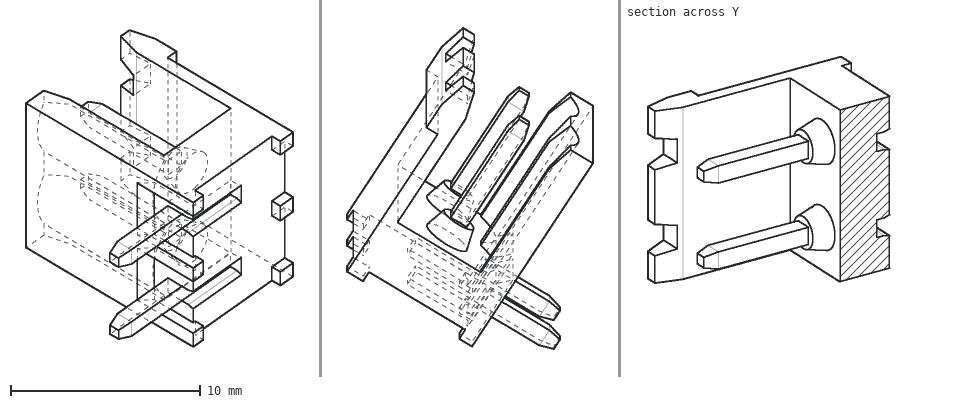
import cadquery as cq
import math


length = 12.0
height = 10.0
poles = 2
pitch = height / poles
bottom_width = 8.5
arm_outer = 7.8
arm_inner = 7.0
hook_length = 3.0
lower_inner = 1.8
cavity_depth = 8.26
lead_in_length = 1.5
taper_angle = 15.0
taper = math.tan(math.radians(taper_angle))
lead_in_drop = lead_in_length * taper
back_face = 11.4
lower_rib_inner = 0.8
upper_rib_inner = 6.8

notch_depth = 1.2
notch_tip_width = 1.82
notch_floor_width = 1.37

window_start = 7.97
window_depth = 0.64
outer_rib_height = 0.95
middle_rib_height = 0.93
upper_middle_rib_height = 1.02

pin_width = 1.0
pin_y = 3.92
solder_x = 10.1
mating_tip_x = 0.6
solder_tip_y = -4.1
pin_tip_length = 0.8
pin_tip_width = 0.62

collar_length = 1.18
collar_base_diameter = 2.5
collar_top_diameter = 1.85
plug_radius = 3.03

slot_mouth_width = 1.2
slot_flare_length = 0.35

pole_heights = [(pole + 0.5) * pitch for pole in range(poles)]


def block(x_range, y_range, z_range):
    """Box spanning the given ranges."""
    spans = [high - low for low, high in (x_range, y_range, z_range)]
    return cq.Workplane("XY").box(*spans, centered=False).translate((x_range[0], y_range[0], z_range[0]))


def housing_profile():
    """U-shaped XY outline, extruded over the full height."""
    outline = [
        (0, 0),
        (length, 0),
        (length, lower_rib_inner),
        (back_face, lower_rib_inner),
        (back_face, upper_rib_inner),
        (length, upper_rib_inner),
        (length, arm_outer),
        (hook_length, arm_outer),
        (hook_length, bottom_width),
        (lead_in_length, bottom_width),
        (0, bottom_width - lead_in_drop),
        (0, arm_inner + lead_in_drop),
        (lead_in_length, arm_inner),
        (cavity_depth, arm_inner),
        (cavity_depth, lower_inner),
        (lead_in_length, lower_inner),
        (0, lower_inner - lead_in_drop),
    ]
    return cq.Workplane("XY").polyline(outline).close().extrude(height)


def hook_notch(z):
    """Trapezoidal notch through the hook tip, narrowing inward."""
    outline = [
        (0, z - notch_tip_width / 2),
        (0, z + notch_tip_width / 2),
        (notch_depth, z + notch_floor_width / 2),
        (notch_depth, z - notch_floor_width / 2),
    ]
    blade = cq.Workplane("XZ").polyline(outline).close().extrude(-(bottom_width - arm_inner))
    return blade.translate((0, arm_inner, 0))


def rib_gaps(middle_height):
    """Z ranges left free between two outer ribs and the middle rib."""
    middle = height / 2
    return [
        (outer_rib_height, middle - middle_height / 2),
        (middle + middle_height / 2, height - outer_rib_height),
    ]


def window(z_range):
    """Shallow recess in the lower face with a 45 degree ramp at its closed end."""
    outline = [
        (window_start, 0),
        (window_start + window_depth, window_depth),
        (back_face, window_depth),
        (back_face, lower_rib_inner),
        (length, lower_rib_inner),
        (length, 0),
    ]
    recess = cq.Workplane("XY").polyline(outline).close().extrude(z_range[1] - z_range[0])
    return recess.translate((0, 0, z_range[0]))


def insertion_slot(z):
    """Slot for sliding a bent pin in from the back, flared at the back face."""
    flare_start = back_face - slot_flare_length
    half_slot = pin_width / 2
    half_mouth = slot_mouth_width / 2
    outline = [
        (solder_x, z - half_slot),
        (flare_start, z - half_slot),
        (back_face, z - half_mouth),
        (back_face, z + half_mouth),
        (flare_start, z + half_slot),
        (solder_x, z + half_slot),
    ]
    return cq.Workplane("XZ").polyline(outline).close().extrude(-(pin_y + pin_width / 2))


def pin_leg(start, direction, leg_length):
    """Square leg with a tapered tip, running from start along direction."""
    plane = cq.Plane(origin=start, xDir=(0, 0, 1), normal=direction)
    shank_length = leg_length - pin_tip_length
    shank = cq.Workplane(plane).rect(pin_width, pin_width).extrude(shank_length)
    tip = (
        cq.Workplane(plane).workplane(offset=shank_length).rect(pin_width, pin_width)
        .workplane(offset=pin_tip_length).rect(pin_tip_width, pin_tip_width).loft()
    )
    return shank.union(tip)


def pin(z):
    """Right-angle pin: mating leg toward -X and solder leg toward -Y."""
    half = pin_width / 2
    corner_x = solder_x + half
    corner_y = pin_y + half
    mating_leg = pin_leg((corner_x, pin_y, z), (-1, 0, 0), corner_x - mating_tip_x)
    solder_leg = pin_leg((solder_x, corner_y, z), (0, -1, 0), corner_y - solder_tip_y)
    return mating_leg.union(solder_leg)


def collar(z):
    """Cone on the cavity floor around the mating leg."""
    plane = cq.Plane(origin=(cavity_depth, pin_y, z), xDir=(0, 1, 0), normal=(-1, 0, 0))
    return (
        cq.Workplane(plane).circle(collar_base_diameter / 2)
        .workplane(offset=collar_length).circle(collar_top_diameter / 2).loft()
    )


def plug_clearance(z):
    """Cylinder that scallops the inside of the lower wall, mouth to cavity floor."""
    return cq.Workplane("YZ").center(pin_y, z).circle(plug_radius).extrude(cavity_depth)


result = housing_profile()
for z in pole_heights:
    result = result.cut(hook_notch(z)).cut(plug_clearance(z)).cut(insertion_slot(z))
for gap in rib_gaps(middle_rib_height):
    result = result.cut(window(gap))
for gap in rib_gaps(upper_middle_rib_height):
    result = result.cut(block((back_face, length), (upper_rib_inner, arm_outer), gap))
for z in pole_heights:
    result = result.union(collar(z)).union(pin(z))